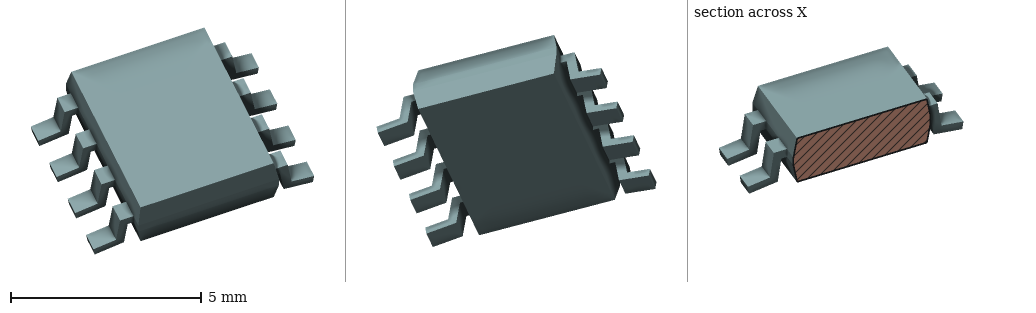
import cadquery as cq
import math

body_length = 5.0
body_width = 4.0
body_bottom = 0.25
body_top = 1.75
belt_height = 0.27
draft_angle = 10.0

lead_span = 6.27
leads_per_side = 4
lead_pitch = 1.27
lead_width = 0.51
shoulder_reach = 2.38
shank_thickness = 0.26
foot_thickness = 0.25
bend_height = 0.34
lean_angle = 8.0

belt_bottom = (body_bottom + body_top - belt_height) / 2
belt_top = belt_bottom + belt_height
half_height = body_top - belt_top


def make_body():
    belt = cq.Workplane("XY").workplane(offset=belt_bottom).rect(body_length, body_width).extrude(belt_height)
    upper = (
        cq.Workplane("XY").workplane(offset=belt_top)
        .rect(body_length, body_width).extrude(half_height, taper=draft_angle)
    )
    lower = (
        cq.Workplane("XY").workplane(offset=belt_bottom)
        .rect(body_length, body_width).extrude(-half_height, taper=draft_angle)
    )
    return belt.union(upper).union(lower)


def make_lead():
    """One lead on the +Y side, centred on X = 0 and rooted inside the belt."""
    slope = math.tan(math.radians(lean_angle))
    tip_y = lead_span / 2
    inside_bend_y = shoulder_reach + slope * (belt_top - bend_height)
    tip_top = bend_height - slope * (tip_y - inside_bend_y)

    tip_bottom_y = tip_y - foot_thickness * math.sin(math.radians(lean_angle))
    tip_bottom = tip_top - foot_thickness * math.cos(math.radians(lean_angle))

    shank_back_y = shoulder_reach - shank_thickness + slope * belt_top
    heel_z = (tip_bottom + slope * (tip_bottom_y - shank_back_y)) / (1 - slope**2)
    heel_y = shank_back_y - slope * heel_z
    root_y = body_width / 4

    profile = [
        (root_y, belt_top),
        (shoulder_reach, belt_top),
        (inside_bend_y, bend_height),
        (tip_y, tip_top),
        (tip_bottom_y, tip_bottom),
        (heel_y, heel_z),
        (shank_back_y - slope * belt_bottom, belt_bottom),
        (root_y, belt_bottom),
    ]
    return cq.Workplane("YZ").polyline(profile).close().extrude(lead_width / 2, both=True)


result = make_body()
lead = make_lead()
for i in range(leads_per_side):
    lead_x = (i - (leads_per_side - 1) / 2) * lead_pitch
    placed = lead.translate((lead_x, 0, 0))
    result = result.union(placed).union(placed.mirror("XZ"))